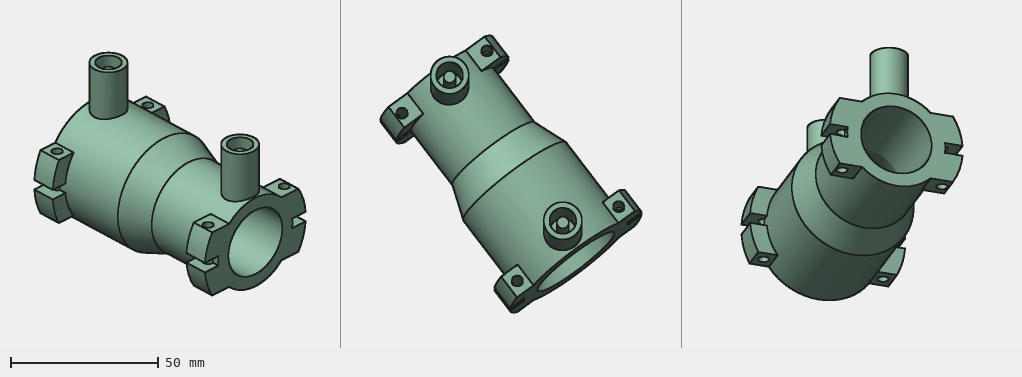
import cadquery as cq

length = 79.0
large_radius = 22.0
small_radius = 17.6
large_bore_radius = 16.35
small_bore_radius = 12.7
taper_start = 34.6
taper_end = 46.6

lug_length = 9.0
lug_half_height = 12.6
slot_width = 3.8
large_lug_radius = 28.0
small_lug_radius = 23.9
bolt_diameter = 3.8
large_bolt_offset = 21.5
small_bolt_offset = 18.0

nozzle_radius = 6.5
nozzle_height = 18.1
nozzle_end_distance = 7.4
socket_radius = 4.5
pin_radius = 2.05
pin_recess = 2.9


def stepped_rod(radius_a, radius_b):
    """Solid of revolution about X, tapering from radius_a to radius_b."""
    return (
        cq.Workplane("XY")
        .moveTo(0, 0)
        .lineTo(0, radius_a)
        .lineTo(taper_start, radius_a)
        .lineTo(taper_end, radius_b)
        .lineTo(length, radius_b)
        .lineTo(length, 0)
        .close()
        .revolve(360, (0, 0, 0), (1, 0, 0))
    )


def upright_cylinder(x, y, radius, z_bottom, z_top):
    """Cylinder parallel to Z."""
    return (
        cq.Workplane("XY", origin=(x, y, z_bottom))
        .circle(radius)
        .extrude(z_top - z_bottom)
    )


def lug_band(x_start, outer_radius):
    """Slotted lugs on both sides: a disc limited in height and split at mid-height."""
    x_middle = x_start + lug_length / 2
    disc = cq.Workplane("YZ", origin=(x_start, 0, 0)).circle(outer_radius).extrude(lug_length)
    slab = cq.Workplane("XY").box(lug_length, 2 * outer_radius, 2 * lug_half_height)
    slot = cq.Workplane("XY").box(lug_length, 2 * outer_radius, slot_width)
    return disc.intersect(slab.cut(slot).translate((x_middle, 0, 0)))


ends = [
    (0, large_lug_radius, large_bolt_offset, nozzle_end_distance, large_radius),
    (length - lug_length, small_lug_radius, small_bolt_offset, length - nozzle_end_distance, small_radius),
]

body = stepped_rod(large_radius, small_radius)
for lug_start, lug_radius, _, nozzle_x, tube_radius in ends:
    body = body.union(lug_band(lug_start, lug_radius))
    body = body.union(upright_cylinder(nozzle_x, 0, nozzle_radius, 0, tube_radius + nozzle_height))

body = body.cut(stepped_rod(large_bore_radius, small_bore_radius))

for lug_start, _, bolt_offset, nozzle_x, tube_radius in ends:
    bolt_x = lug_start + lug_length / 2
    for side in (-1, 1):
        bolt_hole = upright_cylinder(
            bolt_x, side * bolt_offset, bolt_diameter / 2, -lug_half_height, lug_half_height
        )
        body = body.cut(bolt_hole)
    nozzle_top = tube_radius + nozzle_height
    socket = upright_cylinder(nozzle_x, 0, socket_radius, tube_radius, nozzle_top)
    pin = upright_cylinder(nozzle_x, 0, pin_radius, tube_radius, nozzle_top - pin_recess)
    body = body.cut(socket.cut(pin))

result = body